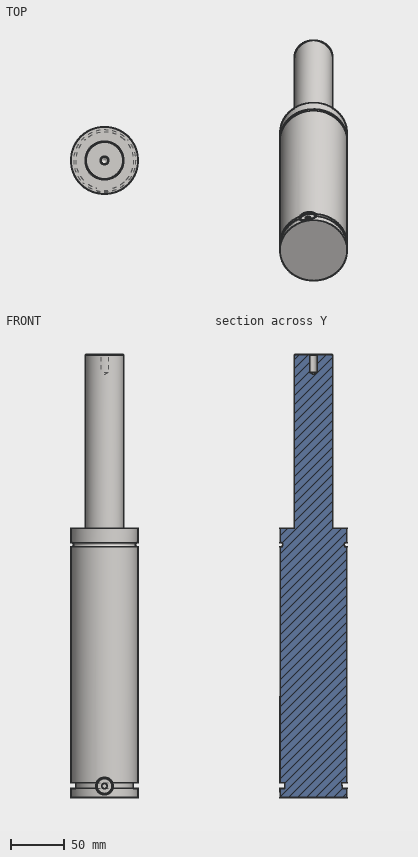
import cadquery as cq
import math

total_height = 415
body_diameter = 63.0
rod_diameter = 36.0
body_height = 252.5
rod_chamfer = 1.0

base_groove_bottom = 8.7
base_groove_top = 13.5
base_groove_depth = 4.5

head_groove_bottom = 235.0
head_groove_top = 238.5
head_groove_depth = 2.5

rod_hole_diameter = 6.5
rod_hole_mouth_diameter = 8.0
rod_hole_depth = 16.5
drill_point_angle = 118

port_height = 10.8
port_boss_diameter = 16.0
port_mouth_diameter = 14.0
port_face_depth = 1.2
port_plug_recess = 1.0
port_socket_diameter = 5.0
port_socket_depth = 1.5

body_radius = body_diameter / 2
base_groove_radius = body_radius - base_groove_depth
port_face_y = -body_radius + port_face_depth


def make_cylinder_and_rod():
    """Plain cylindrical body topped by the chamfered piston rod."""
    body = cq.Workplane("XY").circle(body_radius).extrude(body_height)
    rod = cq.Workplane("XY").circle(rod_diameter / 2).extrude(total_height)
    rod = rod.faces(">Z").chamfer(rod_chamfer)
    return body.union(rod)


def make_base_groove():
    """Ring that cuts the square groove."""
    return (
        cq.Workplane("XY", origin=(0, 0, base_groove_bottom))
        .circle(body_diameter)
        .circle(base_groove_radius)
        .extrude(base_groove_top - base_groove_bottom)
    )


def make_head_groove():
    """Ring with an arc-shaped floor that cuts the groove below the head."""
    middle = (head_groove_bottom + head_groove_top) / 2
    return (
        cq.Workplane("XZ")
        .moveTo(body_radius, head_groove_bottom)
        .threePointArc((body_radius - head_groove_depth, middle), (body_radius, head_groove_top))
        .lineTo(body_diameter, head_groove_top)
        .lineTo(body_diameter, head_groove_bottom)
        .close()
        .revolve(360, (0, 0), (0, 1))
    )


def make_rod_hole():
    """Blind drilled hole with a countersunk mouth and a conical end."""
    hole_radius = rod_hole_diameter / 2
    mouth_radius = rod_hole_mouth_diameter / 2
    mouth_floor = total_height - (mouth_radius - hole_radius)
    hole_floor = total_height - rod_hole_depth
    point_length = hole_radius / math.tan(math.radians(drill_point_angle / 2))
    return (
        cq.Workplane("XZ")
        .moveTo(0, total_height)
        .lineTo(mouth_radius, total_height)
        .lineTo(hole_radius, mouth_floor)
        .lineTo(hole_radius, hole_floor)
        .lineTo(0, hole_floor - point_length)
        .close()
        .revolve(360, (0, 0), (0, 1))
    )


def port_plane(y):
    """Workplane facing -Y, centred on the port axis."""
    return cq.Workplane("XZ", origin=(0, y, port_height))


def add_port(part):
    """Flat-faced boss bridging the groove, with a round recess and a blind socket."""
    plug_floor_y = port_face_y + port_plug_recess
    boss_start_y = -base_groove_radius / 2
    spotface = port_plane(port_face_y).circle(port_boss_diameter / 2).extrude(body_radius)
    boss = port_plane(boss_start_y).circle(port_boss_diameter / 2).extrude(boss_start_y - port_face_y)
    mouth = port_plane(plug_floor_y).circle(port_mouth_diameter / 2).extrude(port_plug_recess)
    socket = port_plane(plug_floor_y + port_socket_depth).circle(port_socket_diameter / 2)
    socket = socket.extrude(port_socket_depth)
    return part.cut(spotface).union(boss).cut(mouth).cut(socket)


result = make_cylinder_and_rod()
result = result.cut(make_base_groove())
result = result.cut(make_head_groove())
result = result.cut(make_rod_hole())
result = add_port(result)